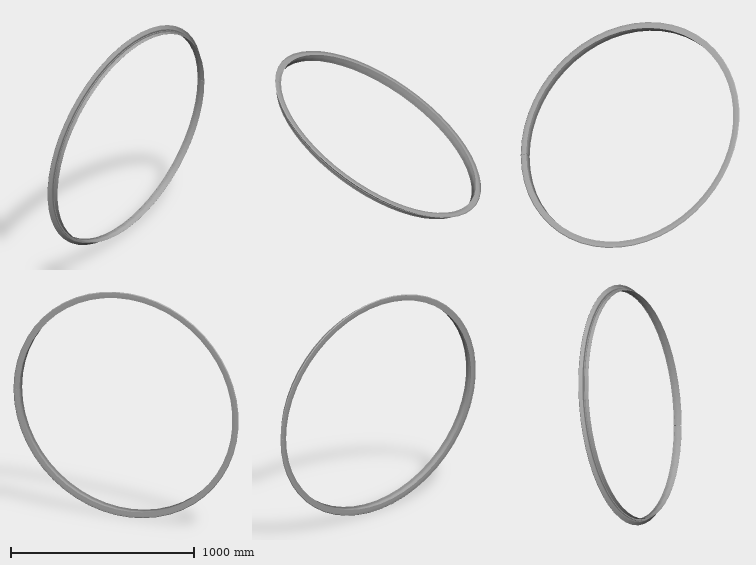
import cadquery as cq

ring_radius = 657.0
ring_width = 46.0
bore_radius = 623.0
band_radius = 624.0

rim_width = 4.0
face_outer_radius = 653.0
lip_radius = 622.0
flange_width = 17.0
flange_back_radius = 639.0

rib_start = 24.0
rib_width = 3.0
rib_radius = 633.0
root_width = 8.0
root_height = 1.0

slit_width = 1.0


def make_ring():
    """Revolve the band, flange and rib about the X axis."""
    rib_end = rib_start + rib_width
    outline = [
        (0, lip_radius),
        (0, face_outer_radius),
        (rim_width, ring_radius),
        (flange_width, flange_back_radius),
        (flange_width, band_radius),
        (rib_start, band_radius),
        (rib_start, rib_radius),
        (rib_end, rib_radius),
        (rib_end, band_radius + root_height),
        (rib_end + root_width, band_radius),
        (ring_width, band_radius),
        (ring_width, bore_radius),
        (rim_width, bore_radius),
        (rim_width, lip_radius),
    ]
    return cq.Workplane("XY").polyline(outline).close().revolve(360, (0, 0, 0), (1, 0, 0))


def make_slit():
    """Build a thin radial slab reaching from the axis past the +Y side."""
    return cq.Workplane("XY").box(
        ring_width, 2 * ring_radius, slit_width, centered=(False, False, True)
    )


result = make_ring().cut(make_slit())